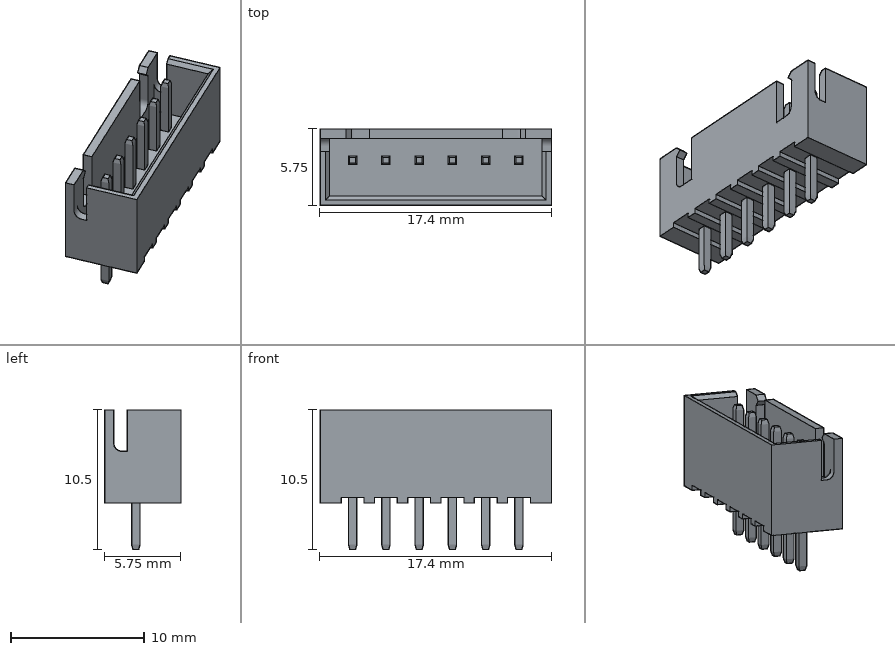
import cadquery as cq

pin_count = 6
pin_pitch = 2.5
pin_width = 0.64
pin_top = 6.5
pin_bottom = -3.5
pin_tip_width = 0.44
pin_tip_length = 0.35

end_margin = 2.45
back_margin = 2.35
housing_depth = 5.75
housing_height = 7.0
wall = 0.7
floor_top = 2.0
lead_in_width = 0.3
lead_in_height = 0.3

channel_width = 1.7
channel_height = 0.4

side_slot_depth = 3.1
back_slot_depth = 3.75
slot_root_radius = 0.6
side_slot_width = 1.0
arm_width = 1.95
back_slot_width = 1.75

hook_reach = 0.4
hook_tip_drop = 0.4
hook_height = 0.8

housing_length = (pin_count - 1) * pin_pitch + 2 * end_margin
back_y = back_margin
front_y = back_y - housing_depth
end_x = housing_length / 2
side_slot_bottom = housing_height - side_slot_depth
back_slot_bottom = housing_height - back_slot_depth
pin_xs = [(i - (pin_count - 1) / 2) * pin_pitch for i in range(pin_count)]


def box(x_min, x_max, y_min, y_max, z_min, z_max):
    """Box given by its limits along each axis."""
    size = (x_max - x_min, y_max - y_min, z_max - z_min)
    return cq.Workplane("XY").box(*size, centered=False).translate((x_min, y_min, z_min))


def make_shell():
    """Housing block with its cavity and the lead-in bevel on the side and front walls."""
    block = box(-end_x, end_x, front_y, back_y, 0, housing_height)
    cavity_end = end_x - wall
    cavity = box(-cavity_end, cavity_end, front_y + wall, back_y - wall, floor_top, housing_height)
    bevel_end = cavity_end + lead_in_width
    bevel_front = front_y + wall - lead_in_width
    cavity_mid_y = (front_y + back_y) / 2
    bevel_depth = 2 * (cavity_mid_y - bevel_front)
    lead_in = (
        cq.Workplane("XY", origin=(0, cavity_mid_y, housing_height - lead_in_height))
        .rect(2 * cavity_end, bevel_depth - 2 * lead_in_width)
        .workplane(offset=lead_in_height)
        .rect(2 * bevel_end, bevel_depth)
        .loft(combine=True, ruled=True)
    )
    lead_in = lead_in.intersect(box(-end_x, end_x, front_y, back_y - wall, 0, housing_height))
    return block.cut(cavity).cut(lead_in)


def cut_channels(body):
    """Open a channel along the full depth of the underside below each pin."""
    half = channel_width / 2
    for x in pin_xs:
        body = body.cut(box(x - half, x + half, front_y, back_y, 0, channel_height))
    return body


def cut_side_slots(body):
    """Part each latch arm from the end walls; the slot root is rounded at the arm."""
    slot_back = back_y - wall
    slot_front = slot_back - side_slot_width
    slot = box(-end_x, end_x, slot_front, slot_back, side_slot_bottom, housing_height)
    slot = slot.edges("|X and >Y and <Z").fillet(slot_root_radius)
    return body.cut(slot)


def make_back_slot():
    """Slot through the back wall beside the arm at -X, rounded at the arm root."""
    slot_start = -end_x + arm_width
    slot_end = slot_start + back_slot_width
    slot = box(slot_start, slot_end, back_y - wall, back_y, back_slot_bottom, housing_height)
    return slot.edges("|Y and <X and <Z").fillet(slot_root_radius)


def make_hook():
    """Hook on the arm at -X: it slopes out from the top, then slopes back to the arm."""
    arm_side = -end_x + arm_width
    tip = (arm_side + hook_reach, housing_height - hook_tip_drop)
    return (
        cq.Workplane("XZ", origin=(0, back_y, 0))
        .moveTo(arm_side, housing_height)
        .lineTo(*tip)
        .lineTo(arm_side, housing_height - hook_height)
        .close()
        .extrude(wall)
    )


def make_tip(x, z_root, length):
    """Square taper from the pin section at z_root; a negative length points it down."""
    return (
        cq.Workplane("XY", origin=(x, 0, z_root))
        .rect(pin_width, pin_width)
        .workplane(offset=length)
        .rect(pin_tip_width, pin_tip_width)
        .loft(combine=True, ruled=True)
    )


def make_pin(x):
    """Square pin tapered at both ends."""
    half = pin_width / 2
    shank_top = pin_top - pin_tip_length
    shank_bottom = pin_bottom + pin_tip_length
    shank = box(x - half, x + half, -half, half, shank_bottom, shank_top)
    upper_tip = make_tip(x, shank_top, pin_tip_length)
    lower_tip = make_tip(x, shank_bottom, -pin_tip_length)
    return shank.union(upper_tip).union(lower_tip)


result = cut_side_slots(cut_channels(make_shell()))

back_slot = make_back_slot()
hook = make_hook()
result = result.cut(back_slot).cut(back_slot.mirror("YZ"))
result = result.union(hook).union(hook.mirror("YZ"))

for pin_x in pin_xs:
    result = result.union(make_pin(pin_x))